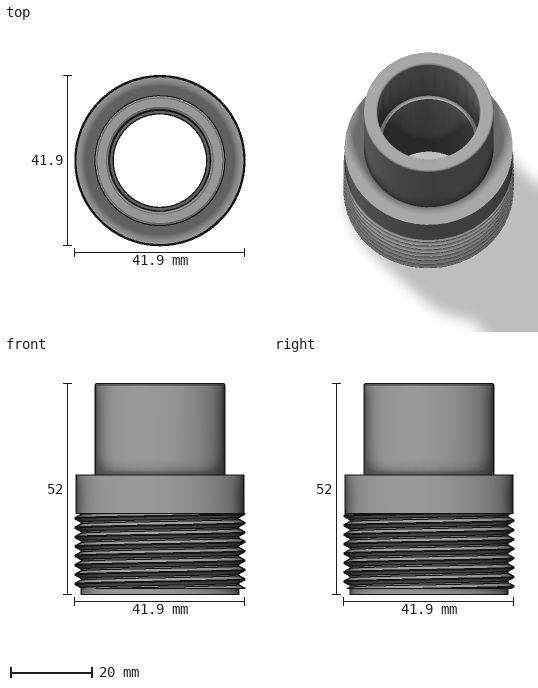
import cadquery as cq

thread_start_z = 1.5
collar_bottom_z = 20.0
collar_top_z = 29.5
spigot_top_z = 52.0

collar_diameter = 41.4
spigot_diameter = 32.0

bore_diameter = 23.0
socket_mouth_diameter = 25.3
socket_floor_diameter = 24.8
socket_depth = 19.0
rim_fillet_radius = 0.5

thread_major_diameter = 41.91
thread_minor_diameter = 38.95
thread_pitch = 2.309
crest_width = 0.25
root_width = 0.45
root_overlap = 0.2


def make_body():
    """Threaded core, collar and spigot, stacked along Z."""
    core = cq.Workplane("XY").circle(thread_minor_diameter / 2).extrude(collar_bottom_z)
    collar = (
        cq.Workplane("XY", origin=(0, 0, collar_bottom_z))
        .circle(collar_diameter / 2)
        .extrude(collar_top_z - collar_bottom_z)
    )
    spigot = (
        cq.Workplane("XY", origin=(0, 0, collar_top_z))
        .circle(spigot_diameter / 2)
        .extrude(spigot_top_z - collar_top_z)
    )
    return core.union(collar).union(spigot)


def make_thread():
    """Helical ridge whose crest crosses +X at the thread start, trimmed flat at both ends."""
    minor_radius = thread_minor_diameter / 2
    major_radius = thread_major_diameter / 2
    base_radius = minor_radius - root_overlap
    half_crest = crest_width / 2
    half_width_at_minor = (thread_pitch - root_width) / 2
    flank_slope = (half_width_at_minor - half_crest) / (major_radius - minor_radius)
    half_base = half_width_at_minor + flank_slope * root_overlap

    thread_length = collar_bottom_z - thread_start_z
    helix_bottom_z = thread_start_z - thread_pitch
    helix_height = thread_length + 2 * thread_pitch
    helix = cq.Wire.makeHelix(
        thread_pitch, helix_height, minor_radius, center=cq.Vector(0, 0, helix_bottom_z)
    )
    ridge = (
        cq.Workplane("XZ", origin=(0, 0, helix_bottom_z))
        .moveTo(base_radius, -half_base)
        .lineTo(major_radius, -half_crest)
        .lineTo(major_radius, half_crest)
        .lineTo(base_radius, half_base)
        .close()
        .sweep(cq.Workplane(helix), isFrenet=True)
    )
    threaded_length = (
        cq.Workplane("XY", origin=(0, 0, thread_start_z))
        .circle(thread_major_diameter)
        .extrude(thread_length)
    )
    return ridge.intersect(threaded_length)


def make_bore():
    """Axial section of the bore and socket, revolved about Z."""
    bore_radius = bore_diameter / 2
    socket_floor_z = spigot_top_z - socket_depth
    return (
        cq.Workplane("XZ")
        .moveTo(0, 0)
        .lineTo(bore_radius, 0)
        .lineTo(bore_radius, socket_floor_z)
        .lineTo(socket_floor_diameter / 2, socket_floor_z)
        .lineTo(socket_mouth_diameter / 2, spigot_top_z)
        .lineTo(0, spigot_top_z)
        .close()
        .revolve(360, (0, 0, 0), (0, 1, 0))
    )


def round_rim(body):
    """Round the outer and inner edges of the spigot rim."""
    return body.faces(">Z").edges().fillet(rim_fillet_radius)


hollow_body = make_body().cut(make_bore())
result = round_rim(hollow_body).union(make_thread())